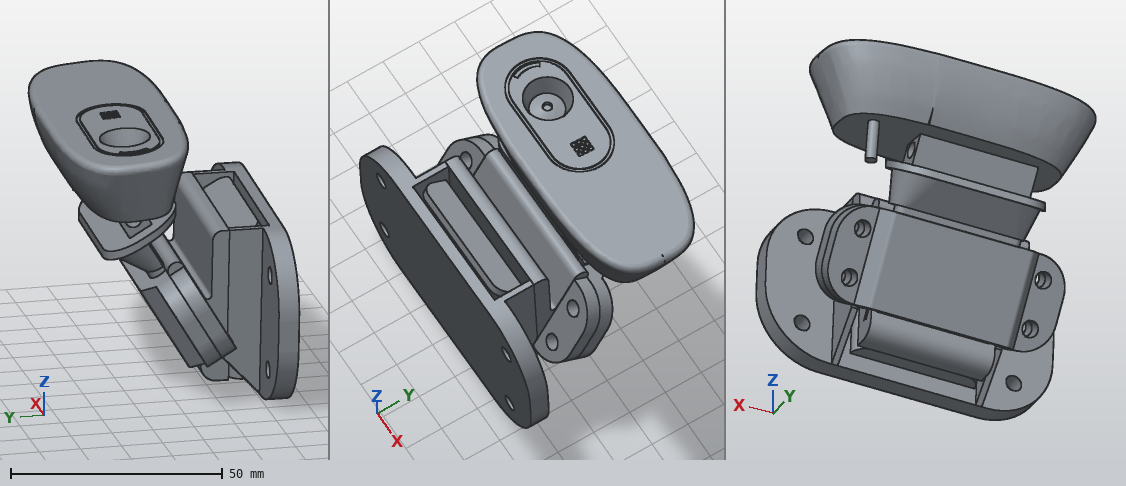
import cadquery as cq
import math

ROLL = -2.5
PITCH = 0.6

PLATE_W = 75.8
PLATE_H = 41.75
PLATE_T = 5.0
PLATE_R = 16.95
SCREW_D = 4.05
SCREW_X = 55.8
SCREW_Z = 23.9
BOX_W = 39.65
POCKET_W = 36.4
POCKET_FRONT = 3.1
POCKET_BACK = 13.05
RECESS_DEPTH = 9.3
WALL_FOOT_Z = -5.45
GUSSET_BACK = 14.9
GUSSET_Z = -10.4

SHEET_T = 4.05
WALL_BACK = POCKET_BACK + SHEET_T
WALL_FRONT_Z = -6.6
WALL_ROUND = 2.3
INNER_ROUND = 0.9
CLAMP_TILT = math.radians(31.4)
CLAMP_Y = 21.3
CLAMP_Z = 0.2
CLAMP_W = 59.85
CLAMP_H = 23.6
CLAMP_R = 8.4
CLAMP_HOLE_X = 47.65
CLAMP_HOLE_UP = 12.0
ARM_TOP = 14.1
ARM_PROUD = 0.15
ARM_T = SHEET_T + ARM_PROUD
ARM_ROUND = 0.49 * ARM_T

HOOK_W = 32.65
HOOK_BACK = 18.5
HOOK_FRONT = 11.7
HOOK_BOTTOM = -18.35
HOOK_ROUND = 3.9

PAD_T = 3.65
PAD_FOOT_W = 42.0
PAD_TOP_W = 36.5
PAD_ROUND = 1.2

TONGUE_W = 32.65
TONGUE_PROUD = 0.4
TONGUE_BOTTOM = -17.5
TONGUE_R = 3.1
TONGUE_END = 0.45 * SHEET_T
WEDGE_BOTTOM = 13.7
WEDGE_W = 35.0
WEDGE_R = 3.5
WEDGE_TOP_W = 38.1
WEDGE_TOP_T = 9.3
WEDGE_TOP_R = 8.55
FLANGE_W = 39.65
FLANGE_FRONT = 24.65
FLANGE_BACK = 41.9
FLANGE_T = 1.9
FLANGE_R = 7.8
FLANGE_BOTTOM = 21.8
KNUCKLE_W = 31.1
KNUCKLE_T = 6.2
KNUCKLE_TOP = 31.9
HINGE_D = 3.9
HINGE_UP = 27.2

TAB_W = 35.0
TAB_T = 1.95
TAB_L = 10.9
TAB_R = 3.6
TAB_TIP_Y = 5.0
UPRIGHT_T = 4.0
UPRIGHT_TOP = 15.55
UPRIGHT_R = 3.9

HEAD_TILT = -4.4
HEAD_X = 6.0
HEAD_Y = 36.8
HEAD_Z = 42.45
HEAD_H = 16.7
FACE_ROUND = 1.5
FACE_W = 72.15
FACE_D = 31.5
MIDDLE_W = 65.0
MIDDLE_D = 27.8
MIDDLE_SHIFT = 0.55
BACK_W = 57.15
BACK_D = 21.15
BACK_SHIFT = -0.5
SQUARENESS = 3.1
QUARTER_STEPS = 8

DETAIL_DEPTH = 0.4
PANEL_X = -11.3
PANEL_W = 33.9
PANEL_H = 16.7
GROOVE_W = 0.85
LENS_X = -16.5
LENS_D = 12.0
LENS_FLOOR_D = 8.7
LENS_DEPTH = 4.7
LENS_DOME = 1.2
PUPIL_D = 2.3
PUPIL_DEPTH = 1.2
MIC_X = -1.2
MIC_SIZE = 1.0
MIC_PITCH = 1.5
MIC_COUNT = 3
LAMP_R_OUT = 7.2
LAMP_R_IN = 6.1
LAMP_SWEEP = 31.0

CABLE_X = 21.45
CABLE_Y = 3.9
CABLE_D = 2.7
CABLE_L = 10.1

NORMAL = cq.Vector(0, -math.cos(CLAMP_TILT), math.sin(CLAMP_TILT))
UP = cq.Vector(0, math.sin(CLAMP_TILT), math.cos(CLAMP_TILT))
CLAMP = cq.Plane(origin=(0, CLAMP_Y, CLAMP_Z), xDir=(1, 0, 0), normal=NORMAL.toTuple())


def across(up):
    """Plane square to the clamp at a height along it; its y runs towards the back."""
    origin = CLAMP.toWorldCoords((0, up, 0))
    return cq.Workplane(cq.Plane(origin=origin.toTuple(), xDir=(1, 0, 0), normal=UP.toTuple()))


def clamp_box(width, bottom, top, back, front):
    """Box in the clamp frame, centred across."""
    block = cq.Workplane(CLAMP).center(0, (bottom + top) / 2).workplane(offset=back)
    return block.rect(width, top - bottom).extrude(front - back)


def face_near(body, up, out):
    """Face of a body nearest to a point on the centre line of the clamp frame."""
    point = CLAMP.toWorldCoords((0, up, out)).toTuple()
    return body.faces(cq.selectors.NearestToPointSelector(point))


def side_profile(points, width):
    """Solid from (y, z) points, centred across."""
    return cq.Workplane("YZ").polyline(points).close().extrude(width / 2, both=True)


def clamp_plate(back, front):
    """Rounded plate with its four bolt holes."""
    plate = (
        cq.Workplane(CLAMP).workplane(offset=back)
        .sketch().rect(CLAMP_W, CLAMP_H).vertices().fillet(CLAMP_R).finalize().extrude(front - back)
    )
    holes = (
        cq.Workplane(CLAMP).workplane(offset=back)
        .rect(CLAMP_HOLE_X, CLAMP_HOLE_UP, forConstruction=True).vertices()
        .circle(SCREW_D / 2).extrude(front - back)
    )
    return plate.cut(holes)


def make_tongue():
    """Tongue with rounded lower corners and a rounded lower end."""
    tongue = clamp_box(TONGUE_W, TONGUE_BOTTOM, WEDGE_BOTTOM, -SHEET_T, TONGUE_PROUD)
    tongue = face_near(tongue, TONGUE_BOTTOM, 0).edges("not |X").fillet(TONGUE_R)
    return face_near(tongue, TONGUE_BOTTOM, 0).edges("|X").fillet(TONGUE_END)


def make_hook():
    """Block below the clamp plate that holds the end of the tongue."""
    back_edge = CLAMP.toWorldCoords((0, -CLAMP_H / 2, 0))
    front_edge = CLAMP.toWorldCoords((0, -CLAMP_H / 2, SHEET_T))
    rear_top = back_edge.z - (HOOK_BACK - back_edge.y) * math.tan(CLAMP_TILT)
    hook = side_profile(
        [
            (HOOK_BACK, HOOK_BOTTOM),
            (HOOK_BACK, rear_top),
            (HOOK_FRONT, front_edge.z),
            (HOOK_FRONT, HOOK_BOTTOM),
        ],
        HOOK_W,
    )
    return hook.edges("|X and >Y and <Z").fillet(HOOK_ROUND)


def make_arm():
    """Rear wall of the pocket, bent into the front clamp plate, with the hook below."""
    top = PLATE_H / 2
    wall = side_profile(
        [(POCKET_BACK, top), (WALL_BACK, top), (WALL_BACK, 0), (POCKET_BACK, WALL_FRONT_Z)], BOX_W
    )
    wall = wall.edges("|X and >Y and >Z").fillet(WALL_ROUND)
    tilted = clamp_box(BOX_W, -CLAMP_H / 2, ARM_TOP, 0, ARM_T)
    tilted = face_near(tilted, ARM_TOP, ARM_T / 2).edges("|X").fillet(ARM_ROUND)
    bracket = tilted.union(wall)
    bend_up = (WALL_BACK - CLAMP_Y - ARM_T * NORMAL.y) / UP.y
    bend = CLAMP.toWorldCoords((0, bend_up, ARM_T)).toTuple()
    bracket = bracket.edges(cq.selectors.NearestToPointSelector(bend)).fillet(INNER_ROUND)
    return bracket.union(clamp_plate(0, SHEET_T)).union(make_hook())


def make_base():
    """Wall plate with screw holes, side walls and a shallow pocket recess."""
    plate = (
        cq.Workplane("XZ").sketch().rect(PLATE_W, PLATE_H).vertices().fillet(PLATE_R).finalize()
        .extrude(-PLATE_T)
    )
    holes = (
        cq.Workplane("XZ").rect(SCREW_X, SCREW_Z, forConstruction=True).vertices()
        .circle(SCREW_D / 2).extrude(-PLATE_T)
    )
    top = PLATE_H / 2
    walls = side_profile(
        [
            (PLATE_T, top),
            (POCKET_BACK, top),
            (POCKET_BACK, WALL_FOOT_Z),
            (GUSSET_BACK, GUSSET_Z),
            (PLATE_T, -top),
        ],
        BOX_W,
    )
    gap = cq.Workplane("XY").box(POCKET_W, 2 * GUSSET_BACK, 2 * PLATE_H)
    gap = gap.translate((0, PLATE_T + GUSSET_BACK, 0))
    recess = cq.Workplane("XY").box(POCKET_W, PLATE_T, RECESS_DEPTH, centered=(True, False, False))
    recess = recess.translate((0, POCKET_FRONT, top - RECESS_DEPTH))
    return plate.cut(holes).union(walls.cut(gap)).cut(recess)


def make_cover():
    """Rear clamp plate with a raised pad whose sides slope inwards."""
    pad = (
        cq.Workplane(CLAMP).workplane(offset=-SHEET_T).rect(PAD_FOOT_W, CLAMP_H)
        .workplane(offset=-PAD_T).rect(PAD_TOP_W, CLAMP_H).loft(ruled=True)
    )
    rim = face_near(pad, 0, -SHEET_T - PAD_T).edges("not |X")
    return clamp_plate(-SHEET_T, 0).union(rim.fillet(PAD_ROUND))


def make_flange():
    """Slab square to the clamp with an upright rounded outline."""
    middle = (FLANGE_FRONT + FLANGE_BACK) / 2
    outline = (
        cq.Workplane("XY", origin=(0, middle, 0)).sketch()
        .rect(FLANGE_W, FLANGE_BACK - FLANGE_FRONT).vertices().fillet(FLANGE_R).finalize()
        .extrude(HEAD_Z)
    )
    slab = clamp_box(
        FLANGE_W, FLANGE_BOTTOM, FLANGE_BOTTOM + FLANGE_T, -FLANGE_W / 2, FLANGE_W / 2
    )
    return outline.intersect(slab)


def make_wedge():
    """Stem that narrows from the flange down to the tongue."""
    bottom = cq.Sketch().rect(WEDGE_W, SHEET_T).vertices(">Y").fillet(WEDGE_R)
    upper = cq.Sketch().rect(WEDGE_TOP_W, WEDGE_TOP_T).vertices(">Y").fillet(WEDGE_TOP_R)
    rise = FLANGE_BOTTOM - WEDGE_BOTTOM
    return across(WEDGE_BOTTOM).placeSketch(
        bottom.moved(cq.Location(cq.Vector(0, SHEET_T / 2, 0))),
        upper.moved(cq.Location(cq.Vector(0, WEDGE_TOP_T / 2, rise))),
    ).loft()


def make_stand():
    """Flange with a hinge knuckle above it and the wedge and tongue below."""
    knuckle = clamp_box(KNUCKLE_W, FLANGE_BOTTOM, KNUCKLE_TOP, -KNUCKLE_T / 2, KNUCKLE_T / 2)
    pin = CLAMP.toWorldCoords((0, HINGE_UP, 0))
    hinge = cq.Workplane("YZ").center(pin.y, pin.z).circle(HINGE_D / 2).extrude(KNUCKLE_W, both=True)
    return make_flange().union(make_wedge()).union(knuckle.cut(hinge)).union(make_tongue())


def make_support():
    """Upright in front of the hook, carrying a tab that rises square to the clamp."""
    tip = cq.Vector(0, TAB_TIP_Y, PLATE_H / 2)
    plane = cq.Plane(origin=tip.toTuple(), xDir=(1, 0, 0), normal=UP.toTuple())
    tab = (
        cq.Workplane(plane).sketch().push([(0, TAB_L / 2)]).rect(TAB_W, TAB_L).reset()
        .vertices("<Y").fillet(TAB_R).finalize().extrude(-TAB_T)
    )
    beyond = cq.Workplane("XZ", origin=(0, HOOK_FRONT, 0)).rect(PLATE_W, PLATE_W).extrude(-TAB_L)
    upright = side_profile(
        [
            (HOOK_FRONT - UPRIGHT_T, HOOK_BOTTOM),
            (HOOK_FRONT, HOOK_BOTTOM),
            (HOOK_FRONT, UPRIGHT_TOP),
            (HOOK_FRONT - UPRIGHT_T, UPRIGHT_TOP),
        ],
        HOOK_W,
    )
    upright = upright.edges("|Z and >Y").fillet(UPRIGHT_R)
    return tab.cut(beyond).union(upright)


def superellipse(width, depth, shift, z):
    """Closed outline of four spline quarters that meet on the axes."""
    quarters = []
    for quarter in range(4):
        points = []
        for step in range(QUARTER_STEPS + 1):
            angle = math.pi / 2 * (quarter + step / QUARTER_STEPS)
            c = math.cos(angle)
            s = math.sin(angle)
            x = width / 2 * math.copysign(abs(c) ** (2 / SQUARENESS), c)
            y = depth / 2 * math.copysign(abs(s) ** (2 / SQUARENESS), s)
            points.append(cq.Vector(x, y + shift, z))
        start = quarter * math.pi / 2
        tangents = [
            cq.Vector(-math.sin(start), math.cos(start), 0),
            cq.Vector(-math.cos(start), -math.sin(start), 0),
        ]
        quarters.append(cq.Edge.makeSpline(points, tangents=tangents))
    return cq.Wire.assembleEdges(quarters)


def on_face(x):
    """Workplane on the front face of the head."""
    return cq.Workplane("XY", origin=(x, 0, 0))


def cut_panel_groove(head):
    """Groove around the lens panel."""
    inner_w = PANEL_W - 2 * GROOVE_W
    inner_h = PANEL_H - 2 * GROOVE_W
    outer = on_face(PANEL_X).slot2D(PANEL_W, PANEL_H).extrude(-DETAIL_DEPTH)
    inner = on_face(PANEL_X).slot2D(inner_w, inner_h).extrude(-DETAIL_DEPTH)
    return head.cut(outer.cut(inner))


def cut_lens(head):
    """Conical recess with a domed floor and a small pupil hole."""
    rim = LENS_D / 2
    floor = LENS_FLOOR_D / 2
    profile = (
        cq.Workplane("XZ").lineTo(rim, 0).lineTo(floor, -LENS_DEPTH)
        .threePointArc((floor / 2, -LENS_DEPTH + 0.75 * LENS_DOME), (0, -LENS_DEPTH + LENS_DOME))
        .close()
    )
    lens = profile.revolve(360, (0, 0, 0), (0, 1, 0)).translate((LENS_X, 0, 0))
    pupil = on_face(LENS_X).circle(PUPIL_D / 2).extrude(-LENS_DEPTH + LENS_DOME - PUPIL_DEPTH)
    return head.cut(lens).cut(pupil)


def cut_microphone(head):
    """Square grid of small square holes."""
    grid = on_face(MIC_X).rarray(MIC_PITCH, MIC_PITCH, MIC_COUNT, MIC_COUNT)
    return head.cut(grid.rect(MIC_SIZE, MIC_SIZE).extrude(-DETAIL_DEPTH))


def polar(radius, degrees):
    """Point on a circle, measured from the -X direction."""
    angle = math.radians(180 + degrees)
    return (radius * math.cos(angle), radius * math.sin(angle))


def cut_lamp(head):
    """Curved slot that follows the round end of the panel."""
    slot = (
        on_face(PANEL_X - (PANEL_W - PANEL_H) / 2)
        .moveTo(*polar(LAMP_R_OUT, -LAMP_SWEEP))
        .threePointArc(polar(LAMP_R_OUT, 0), polar(LAMP_R_OUT, LAMP_SWEEP))
        .lineTo(*polar(LAMP_R_IN, LAMP_SWEEP))
        .threePointArc(polar(LAMP_R_IN, 0), polar(LAMP_R_IN, -LAMP_SWEEP))
        .close()
    )
    return head.cut(slot.extrude(-DETAIL_DEPTH))


def make_head():
    """Tapered shell with a rounded face, its details and the cable stub."""
    sections = [
        superellipse(BACK_W, BACK_D, BACK_SHIFT, -HEAD_H),
        superellipse(MIDDLE_W, MIDDLE_D, MIDDLE_SHIFT, -HEAD_H / 2),
        superellipse(FACE_W, FACE_D, 0, 0),
    ]
    shell = cq.Workplane(cq.Solid.makeLoft(sections)).faces(">Z").edges().fillet(FACE_ROUND)
    cable = (
        cq.Workplane("XY", origin=(CABLE_X, CABLE_Y, -HEAD_H)).circle(CABLE_D / 2).extrude(-CABLE_L)
    )
    head = shell.union(cable)
    for cut_detail in (cut_panel_groove, cut_lens, cut_microphone, cut_lamp):
        head = cut_detail(head)
    return head.rotate((0, 0, 0), (1, 0, 0), HEAD_TILT).translate((HEAD_X, HEAD_Y, HEAD_Z))


tongue = make_tongue()
head = make_head()
arm = make_arm().cut(tongue)
base = make_base().cut(arm)
cover = make_cover().cut(tongue)
stand = make_stand().cut(head)
support = make_support()

result = cq.Compound.makeCompound(
    [base.val(), arm.val(), cover.val(), stand.val(), support.val(), head.val()]
)
result = result.rotate(cq.Vector(0, 0, 0), cq.Vector(1, 0, 0), PITCH)
result = result.rotate(cq.Vector(0, 0, 0), cq.Vector(0, 1, 0), ROLL)